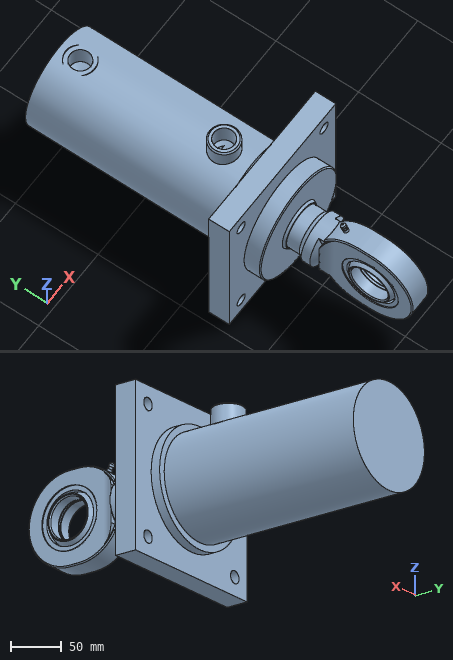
import cadquery as cq
import math


BARREL_DIA = 115.0
COLLAR_DIA = 130.0
COLLAR_START = 234.5
FLANGE_START = 245.0
FLANGE_THICKNESS = 25.0
FLANGE_SIDE = 180.0
GLAND_FACE = 289.7
GLAND_CHAMFER = 1.5
WIPER_BASE_DIA = 56.0
WIPER_TIP_DIA = 52.5
WIPER_LENGTH = 3.0

BOLT_OFFSET = 70.0
BOLT_DIA = 13.5

BORE_DIA = 100.0
BORE_START = 43.5
BORE_END = 195.0

PORT_DIA = 24.5
PORT_DEPTH = 23.0
DRILL_POINT_ANGLE = 118.0
PORT_FACE_DIA = 35.0
FRONT_PORT = 199.3
BOSS_TOP = 76.0
BOSS_CHAMFER = 1.7
REAR_PORT = 25.5
SPOT_FACE_Z = 56.0

ROD_DIA = 50.0
ROD_END = 308.0

OVERALL_LENGTH = 437.0
NECK_DIA = 58.0
NECK_START = 313.5
EYE_RADIUS = 51.0
EYE_THICKNESS = 28.0
EYE_CHAMFER = 1.5
EYE_CENTRE = OVERALL_LENGTH - EYE_RADIUS
EYE_STRETCH = 12.2
SHOULDER_START = 324.0
HOLLOW_START = 329.0
FLAT_START = 342.0
CORE_END = 334.0
SHOULDER_WIDTH = 42.0
SHOULDER_INSET = 2.0

RACE_DIA = 68.0
RACE_RECESS = 1.5
GAP_DIA = 58.0
BALL_WIDTH = 32.0
BALL_FACE_DIA = 50.0
EYE_BORE_DIA = 45.0
EYE_BORE_CHAMFER = 1.5
OIL_GROOVE_WIDTH = 3.0
OIL_GROOVE_DEPTH = 1.0

NIPPLE_TILT = 31.0
NIPPLE_ROOT = 2.0
NIPPLE_BASE_DIA = 5.5
NIPPLE_BASE_HEIGHT = 2.5
NIPPLE_WAIST_DIA = 4.5
NIPPLE_WAIST_TOP = 5.2
NIPPLE_HEAD_DIA = 6.0
NIPPLE_HEAD_TOP = 8.0
NIPPLE_TIP_DIA = 3.0
NIPPLE_HEIGHT = 9.5


def cylinder_y(diameter, start, end):
    """Cylinder on the Y axis between two distances from the rear end."""
    return (
        cq.Workplane("XZ", origin=(0, -start, 0))
        .circle(diameter / 2)
        .extrude(end - start)
    )


def cone_y(start_dia, end_dia, start, end):
    """Truncated cone on the Y axis between two distances from the rear end."""
    profile = [(0, -start), (start_dia / 2, -start), (end_dia / 2, -end), (0, -end)]
    return cq.Workplane("XY").polyline(profile).close().revolve(360, (0, 0), (0, 1))


def cylinder_z(diameter, distance, bottom, top):
    """Vertical cylinder at a distance from the rear end."""
    return (
        cq.Workplane("XY", origin=(0, -distance, bottom))
        .circle(diameter / 2)
        .extrude(top - bottom)
    )


def cylinder_x(diameter, width):
    """Cylinder along X, centred in the eye."""
    return (
        cq.Workplane("YZ", origin=(0, -EYE_CENTRE, 0))
        .circle(diameter / 2)
        .extrude(width / 2, both=True)
    )


def port_hole(distance, face_z):
    """Blind drilled hole with a conical bottom below a port face."""
    radius = PORT_DIA / 2
    straight_end = face_z - PORT_DEPTH
    point_depth = radius / math.tan(math.radians(DRILL_POINT_ANGLE / 2))
    profile = [
        (0, straight_end - point_depth),
        (radius, straight_end),
        (radius, face_z),
        (0, face_z),
    ]
    return (
        cq.Workplane("XZ", origin=(0, -distance, 0))
        .polyline(profile)
        .close()
        .revolve(360, (0, 0), (0, 1))
    )


def make_housing():
    barrel = cylinder_y(BARREL_DIA, 0, COLLAR_START)
    collar = cylinder_y(COLLAR_DIA, COLLAR_START, GLAND_FACE).faces("<Y").chamfer(GLAND_CHAMFER)
    flange = (
        cq.Workplane("XZ", origin=(0, -FLANGE_START, 0))
        .rect(FLANGE_SIDE, FLANGE_SIDE)
        .extrude(FLANGE_THICKNESS)
        .faces("<Y")
        .workplane()
        .rect(2 * BOLT_OFFSET, 2 * BOLT_OFFSET, forConstruction=True)
        .vertices()
        .hole(BOLT_DIA)
    )
    wiper = cone_y(WIPER_BASE_DIA, WIPER_TIP_DIA, GLAND_FACE, GLAND_FACE + WIPER_LENGTH)
    boss = cylinder_z(PORT_FACE_DIA, FRONT_PORT, BORE_DIA / 2, BOSS_TOP).faces(">Z").chamfer(BOSS_CHAMFER)
    spot_face = cylinder_z(PORT_FACE_DIA, REAR_PORT, SPOT_FACE_Z, BOSS_TOP)
    bore = cylinder_y(BORE_DIA, BORE_START, BORE_END)
    rod_hole = cylinder_y(ROD_DIA, BORE_END, GLAND_FACE + WIPER_LENGTH)
    return (
        barrel.union(collar)
        .union(flange)
        .union(wiper)
        .union(boss)
        .cut(spot_face)
        .cut(port_hole(REAR_PORT, SPOT_FACE_Z))
        .cut(port_hole(FRONT_PORT, BOSS_TOP))
        .cut(bore)
        .cut(rod_hole)
    )


def make_rod():
    return cylinder_y(ROD_DIA, BORE_START, ROD_END)


def make_eye_blank():
    """Stretched round eye plate, centred on the YZ plane."""
    return (
        cq.Workplane("YZ", origin=(0, -EYE_CENTRE + EYE_STRETCH / 2, 0))
        .slot2D(EYE_STRETCH + 2 * EYE_RADIUS, 2 * EYE_RADIUS)
        .extrude(EYE_THICKNESS / 2, both=True)
        .faces("<X or >X")
        .chamfer(EYE_CHAMFER)
    )


def make_shoulder():
    """Conical neck end, a block hollowed on each side, and the neck core inside the eye."""
    cone = cone_y(NECK_DIA, SHOULDER_WIDTH, SHOULDER_START, HOLLOW_START)
    outer_x = SHOULDER_WIDTH / 2
    flat_x = EYE_THICKNESS / 2
    rise = FLAT_START - HOLLOW_START
    run = outer_x - flat_x
    hollow_radius = (rise**2 + run**2) / (2 * run)
    half_turn = math.asin(rise / hollow_radius) / 2
    middle_x = flat_x + hollow_radius * (1 - math.cos(half_turn))
    middle_y = -FLAT_START + hollow_radius * math.sin(half_turn)
    block = (
        cq.Workplane("XY", origin=(0, 0, -EYE_RADIUS))
        .moveTo(-outer_x, -HOLLOW_START)
        .lineTo(outer_x, -HOLLOW_START)
        .threePointArc((middle_x, middle_y), (flat_x, -FLAT_START))
        .lineTo(-flat_x, -FLAT_START)
        .threePointArc((-middle_x, middle_y), (-outer_x, -HOLLOW_START))
        .close()
        .extrude(2 * EYE_RADIUS)
    )
    outline = (
        cq.Workplane("YZ", origin=(0, -EYE_CENTRE + EYE_STRETCH, 0))
        .circle(EYE_RADIUS - SHOULDER_INSET)
        .extrude(outer_x, both=True)
    )
    slab = cylinder_x(4 * EYE_RADIUS, EYE_THICKNESS)
    core = cylinder_y(NECK_DIA, SHOULDER_START, CORE_END).intersect(slab)
    return cone.union(block.intersect(outline)).union(core)


def make_ball():
    """Bearing ball cut flat on both sides, wider in the middle than the eye opening."""
    face_x = BALL_WIDTH / 2
    face_radius = BALL_FACE_DIA / 2
    return (
        cq.Workplane("XY", origin=(0, -EYE_CENTRE, 0))
        .moveTo(-face_x, 0)
        .lineTo(-face_x, face_radius)
        .threePointArc((0, math.hypot(face_x, face_radius)), (face_x, face_radius))
        .lineTo(face_x, 0)
        .close()
        .revolve(360, (0, 0), (1, 0))
    )


def make_seat_cutter():
    """Opening for the ball, with a shallow race recess in both eye faces."""
    cutter = cylinder_x(GAP_DIA, EYE_THICKNESS)
    race_x = EYE_THICKNESS / 2 - RACE_RECESS
    for side in (-1, 1):
        recess = (
            cq.Workplane("YZ", origin=(side * race_x, -EYE_CENTRE, 0))
            .circle(RACE_DIA / 2)
            .extrude(side * RACE_RECESS)
        )
        cutter = cutter.union(recess)
    return cutter


def make_bore_cutter():
    """Eye bore with chamfered mouths and an oil groove in the middle."""
    radius = EYE_BORE_DIA / 2
    face_x = BALL_WIDTH / 2
    mouth_radius = radius + EYE_BORE_CHAMFER
    mouth_x = face_x - EYE_BORE_CHAMFER
    profile = [
        (-face_x, 0),
        (-face_x, mouth_radius),
        (-mouth_x, radius),
        (mouth_x, radius),
        (face_x, mouth_radius),
        (face_x, 0),
    ]
    bore = (
        cq.Workplane("XY", origin=(0, -EYE_CENTRE, 0))
        .polyline(profile)
        .close()
        .revolve(360, (0, 0), (1, 0))
    )
    return bore.union(cylinder_x(EYE_BORE_DIA + 2 * OIL_GROOVE_DEPTH, OIL_GROOVE_WIDTH))


def make_nipple():
    """Grease nipple standing radially on the rear arc of the eye."""
    base_radius = NIPPLE_BASE_DIA / 2
    waist_radius = NIPPLE_WAIST_DIA / 2
    head_radius = NIPPLE_HEAD_DIA / 2
    profile = [
        (0, -NIPPLE_ROOT),
        (base_radius, -NIPPLE_ROOT),
        (base_radius, NIPPLE_BASE_HEIGHT),
        (waist_radius, NIPPLE_BASE_HEIGHT),
        (waist_radius, NIPPLE_WAIST_TOP),
        (head_radius, NIPPLE_WAIST_TOP),
        (head_radius, NIPPLE_HEAD_TOP),
        (NIPPLE_TIP_DIA / 2, NIPPLE_HEIGHT),
        (0, NIPPLE_HEIGHT),
    ]
    upright = cq.Workplane("XZ").polyline(profile).close().revolve(360, (0, 0), (0, 1))
    return (
        upright.translate((0, 0, EYE_RADIUS))
        .rotate((0, 0, 0), (1, 0, 0), -NIPPLE_TILT)
        .translate((0, -EYE_CENTRE + EYE_STRETCH, 0))
    )


def make_rod_eye():
    weld_cone = cone_y(ROD_DIA, NECK_DIA, ROD_END, NECK_START)
    neck = cylinder_y(NECK_DIA, NECK_START, SHOULDER_START)
    eye = weld_cone.union(neck).union(make_shoulder()).union(make_eye_blank()).union(make_nipple())
    return eye.cut(make_seat_cutter()).union(make_ball()).cut(make_bore_cutter())


housing = make_housing()
rod = make_rod()
rod_eye = make_rod_eye()

result = cq.Compound.makeCompound(
    [*housing.solids().vals(), *rod.solids().vals(), *rod_eye.solids().vals()]
)